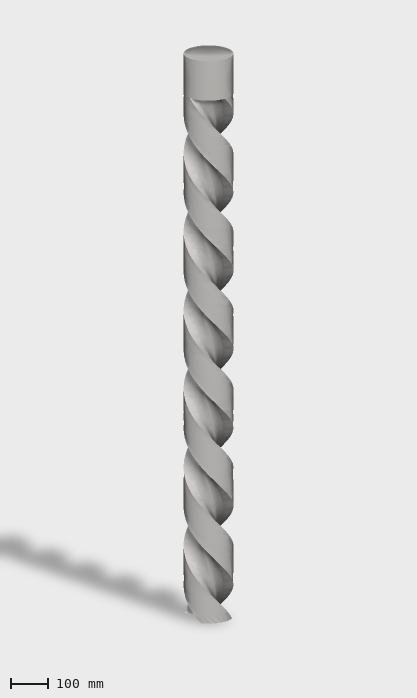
import cadquery as cq
import math

total_length = 1565.0
diameter = 132.0
shank_length = 110.0
core_radius = 22.0
root_fillet = 22.0
flute_opening = 90.0
flute_count = 2
twist_angle = -1200.0
first_flute_direction = -90.0

body_radius = diameter / 2
fluted_length = total_length - shank_length
half_opening = math.radians(flute_opening / 2)
fillet_center_radius = core_radius + root_fillet
wall_tangent_radius = math.sqrt(fillet_center_radius**2 - root_fillet**2)
fillet_angle = math.asin(root_fillet / fillet_center_radius)


def polar(radius, angle):
    """Point at a radius and an angle in radians about the drill axis."""
    return radius * math.cos(angle), radius * math.sin(angle)


def fluted_outline():
    """Cross-section with lands on the body circle and radial-walled flutes filleted into the core."""
    step = 2 * math.pi / flute_count
    first_direction = math.radians(first_flute_direction)
    outline = cq.Workplane("XY").moveTo(*polar(body_radius, first_direction - half_opening))
    for index in range(flute_count):
        direction = first_direction + index * step
        near_wall = direction - half_opening
        far_wall = direction + half_opening
        outline = (
            outline.lineTo(*polar(wall_tangent_radius, near_wall))
            .radiusArc(polar(core_radius, near_wall + fillet_angle), root_fillet)
            .threePointArc(
                polar(core_radius, direction),
                polar(core_radius, far_wall - fillet_angle),
            )
            .radiusArc(polar(wall_tangent_radius, far_wall), root_fillet)
            .lineTo(*polar(body_radius, far_wall))
            .threePointArc(
                polar(body_radius, direction + step / 2),
                polar(body_radius, near_wall + step),
            )
        )
    return outline.close()


fluted_body = fluted_outline().twistExtrude(fluted_length, twist_angle)
shank = cq.Workplane("XY", origin=(0, 0, fluted_length)).circle(body_radius).extrude(shank_length)

result = fluted_body.union(shank)